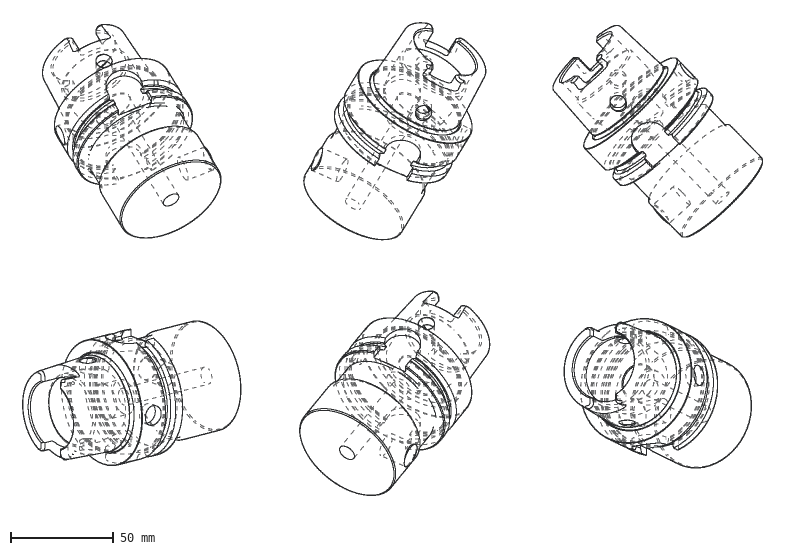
import cadquery as cq
import math


shank_length = 31.9
total_length = 97.9
nose_end = total_length - shank_length
shank_end = -shank_length

taper_end_radius = 24.15
taper_ratio = 9.98
taper_end = -2.0
shank_front_fillet = 1.2
taper_length = taper_end - shank_end - shank_front_fillet
shank_front_radius = taper_end_radius - taper_length / (2 * taper_ratio)

relief_radius = 23.7
relief_start = -1.4
relief_depth = 0.4
relief_fillet = 0.9
relief_outer_radius = 25.3
relief_outer_slope = 0.5

flange_radius = 31.5
flange_width = 26.0
flange_front_chamfer = 0.25
flange_back_chamfer = 0.5
groove_center = 18.0
groove_radius = 27.5
groove_wall_radius = 29.2
groove_wall_width = 3.9
groove_mouth_width = 6.4
groove_fillet = 0.8

keyway_width = 18.0
keyway_start = 4.95
keyway_floor = 26.5

neck_radius = 25.9
neck_fillet = 1.0
nose_radius = 27.5
nose_start = 41.9
nose_fillet = (nose_radius - neck_radius) / 2
nose_end_chamfer = 0.6

slot_width = 12.4
slot_round = 2.7
slot_ledge = 20.75
slot_corner_fillet = 1.25
slot_front_chamfer = 1.25
slot_cutter_half_width = slot_width
top_slot_depth = 10.5
bottom_slot_depth = 6.35

bore_radius = 17.0
bore_chamfer = 0.6
bore_chamfer_length = 0.9
bore_lip_depth = 12.6
groove_bore_radius = 18.3
groove_bore_slope = 60.0
groove_bore_end = -7.7
bore_floor_fillet = 1.2
bore_depth = 34.0
tube_hole_radius = 8.7
tube_hole_chamfer = 0.45
tube_hole_depth = 12.0
through_radius = 4.25

cross_hole_x = -8.85
cross_hole_radius = 3.9
cross_hole_chamfer = 0.35
chip_hole_x = 7.05
chip_hole_radius = 5.0
chip_hole_depth = 4.6

screw_x = 51.4
screw_radius = 6.0
screw_length = 14.0


def turned_body():
    """Solid of revolution of the whole outside, without its holes and slots."""
    mouth = groove_mouth_width / 2
    wall = groove_wall_width / 2
    return (
        cq.Workplane("XY")
        .moveTo(shank_end, 0)
        .lineTo(shank_end, shank_front_radius - shank_front_fillet)
        .radiusArc((shank_end + shank_front_fillet, shank_front_radius), shank_front_fillet)
        .lineTo(taper_end, taper_end_radius)
        .lineTo(relief_start, relief_radius)
        .lineTo(relief_depth - relief_fillet, relief_radius)
        .radiusArc((relief_depth, relief_radius + relief_fillet), -relief_fillet)
        .lineTo(relief_depth, relief_outer_radius - relief_outer_slope)
        .lineTo(0, relief_outer_radius)
        .lineTo(0, flange_radius - flange_front_chamfer)
        .lineTo(flange_front_chamfer, flange_radius)
        .lineTo(groove_center - mouth, flange_radius)
        .lineTo(groove_center - wall, groove_wall_radius)
        .lineTo(groove_center - wall, groove_radius + groove_fillet)
        .radiusArc((groove_center - wall + groove_fillet, groove_radius), -groove_fillet)
        .lineTo(groove_center + wall - groove_fillet, groove_radius)
        .radiusArc((groove_center + wall, groove_radius + groove_fillet), -groove_fillet)
        .lineTo(groove_center + wall, groove_wall_radius)
        .lineTo(groove_center + mouth, flange_radius)
        .lineTo(flange_width - flange_back_chamfer, flange_radius)
        .lineTo(flange_width, flange_radius - flange_back_chamfer)
        .lineTo(flange_width, neck_radius + neck_fillet)
        .radiusArc((flange_width + neck_fillet, neck_radius), -neck_fillet)
        .lineTo(nose_start - nose_fillet, neck_radius)
        .radiusArc((nose_start, neck_radius + nose_fillet), -nose_fillet)
        .radiusArc((nose_start + nose_fillet, nose_radius), nose_fillet)
        .lineTo(nose_end - nose_end_chamfer, nose_radius)
        .lineTo(nose_end, nose_radius - nose_end_chamfer)
        .lineTo(nose_end, 0)
        .close()
        .revolve(360, (0, 0, 0), (1, 0, 0))
    )


def slot_section(x, growth=0.0):
    """Closed outline of the upper drive slot at x, with its walls moved outward by growth."""
    half_slot = slot_width / 2 + growth
    mouth_round = slot_round - growth
    half_ledge = half_slot + mouth_round
    ledge = slot_ledge - growth
    return (
        cq.Workplane("YZ")
        .workplane(offset=x)
        .moveTo(-half_slot, 0)
        .lineTo(-half_slot, ledge - mouth_round)
        .radiusArc((-half_ledge, ledge), -mouth_round)
        .lineTo(-slot_cutter_half_width, ledge)
        .lineTo(-slot_cutter_half_width, flange_radius)
        .lineTo(slot_cutter_half_width, flange_radius)
        .lineTo(slot_cutter_half_width, ledge)
        .lineTo(half_ledge, ledge)
        .radiusArc((half_slot, ledge - mouth_round), -mouth_round)
        .lineTo(half_slot, 0)
        .close()
    )


def drive_slot(depth):
    """Cutter for the upper drive slot: its mouth flares out to a ledge, its front edge is chamfered."""
    cutter = slot_section(shank_end).extrude(depth)
    back_edges = cutter.faces(">X").edges(
        cq.selectors.BoxSelector(
            (shank_end, -slot_cutter_half_width, slot_corner_fillet),
            (nose_end, slot_cutter_half_width, slot_ledge + slot_corner_fillet),
        )
    )
    cutter = back_edges.fillet(slot_corner_fillet)
    front = slot_section(shank_end, slot_front_chamfer).wires().val()
    back = slot_section(shank_end + slot_front_chamfer).wires().val()
    return cutter.union(cq.Workplane(cq.Solid.makeLoft([front, back], True)))


def axial_bore():
    """Cutter for the shank bore with its clamping groove, the coolant tube hole and the through hole."""
    start = shank_end
    lip_end = start + bore_lip_depth
    groove_step = groove_bore_radius - bore_radius
    groove_start = lip_end + groove_step / math.tan(math.radians(groove_bore_slope))
    floor = start + bore_depth
    tube_end = floor + tube_hole_depth
    return (
        cq.Workplane("XY")
        .moveTo(start, 0)
        .lineTo(start, bore_radius + bore_chamfer)
        .lineTo(start + bore_chamfer_length, bore_radius)
        .lineTo(lip_end, bore_radius)
        .lineTo(groove_start, groove_bore_radius)
        .lineTo(groove_bore_end, groove_bore_radius)
        .lineTo(floor - bore_floor_fillet, bore_radius)
        .radiusArc((floor, bore_radius - bore_floor_fillet), bore_floor_fillet)
        .lineTo(floor, tube_hole_radius + tube_hole_chamfer)
        .lineTo(floor + tube_hole_chamfer, tube_hole_radius)
        .lineTo(tube_end, tube_hole_radius)
        .lineTo(tube_end, through_radius)
        .lineTo(nose_end, through_radius)
        .lineTo(nose_end, 0)
        .close()
        .revolve(360, (0, 0, 0), (1, 0, 0))
    )


def keyway():
    """Cutter for the upper keyway: open to the back of the flange, round at its front."""
    radius = keyway_width / 2
    arc_center = keyway_start + radius
    return (
        cq.Workplane("XY")
        .workplane(offset=keyway_floor)
        .moveTo(flange_width, -radius)
        .lineTo(arc_center, -radius)
        .threePointArc((keyway_start, 0), (arc_center, radius))
        .lineTo(flange_width, radius)
        .close()
        .extrude(flange_radius - keyway_floor)
    )


def cross_hole():
    """Hole across the shank, countersunk where it leaves the taper."""
    surface = taper_end_radius - (taper_end - cross_hole_x) / (2 * taper_ratio)
    mouth_radius = cross_hole_radius + cross_hole_chamfer
    cone_size = 2 * mouth_radius
    cutter = (
        cq.Workplane("XY")
        .center(cross_hole_x, 0)
        .circle(cross_hole_radius)
        .extrude(flange_radius, both=True)
    )
    for direction in (1, -1):
        axis = cq.Vector(0, 0, direction)
        bottom = cq.Vector(cross_hole_x, 0, direction * (surface - mouth_radius))
        countersink = cq.Solid.makeCone(0, cone_size, cone_size, bottom, axis)
        cutter = cutter.union(cq.Workplane(countersink))
    return cutter


def chip_hole():
    """Cutter for the blind data chip hole in the -Y side of the flange."""
    return (
        cq.Workplane("XZ")
        .workplane(offset=flange_radius - chip_hole_depth)
        .center(chip_hole_x, 0)
        .circle(chip_hole_radius)
        .extrude(chip_hole_depth)
    )


def clamping_screw():
    """Plain screw set into the +Y side of the nose; it is also the cutter for its own hole."""
    return (
        cq.Workplane("XZ")
        .workplane(offset=-nose_radius)
        .center(screw_x, 0)
        .circle(screw_radius)
        .extrude(screw_length)
    )


def holder_body():
    body = turned_body().cut(axial_bore())
    body = body.cut(drive_slot(top_slot_depth))
    body = body.cut(drive_slot(bottom_slot_depth).rotate((0, 0, 0), (1, 0, 0), 180))
    for angle in (0, 180):
        body = body.cut(keyway().rotate((0, 0, 0), (1, 0, 0), angle))
    return body.cut(cross_hole()).cut(chip_hole()).cut(clamping_screw())


holder = holder_body()
screw = clamping_screw()
result = cq.Compound.makeCompound([holder.solids().val(), screw.val()])